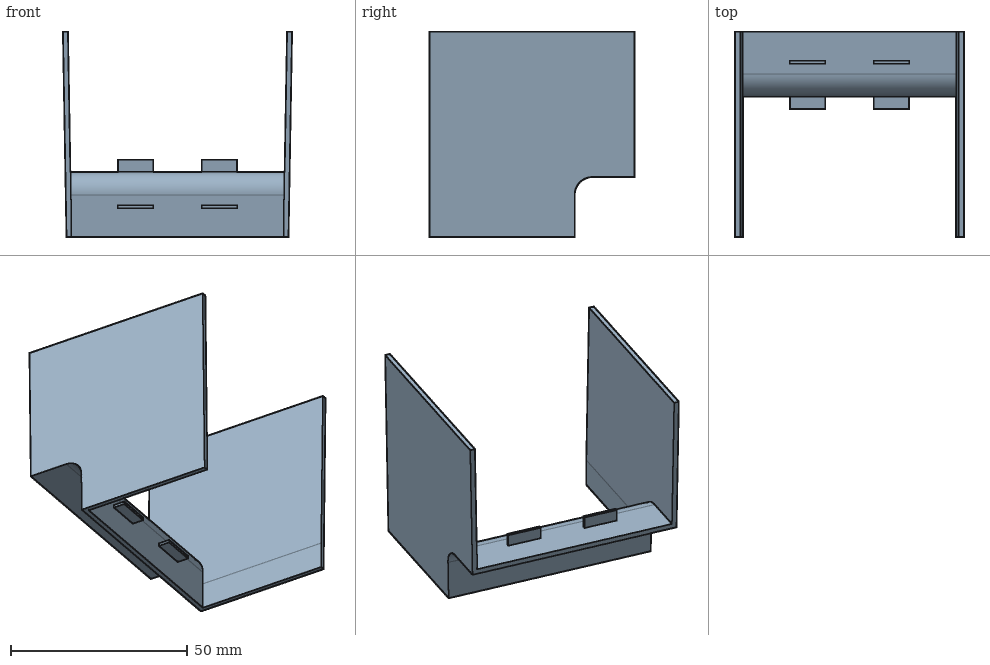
import cadquery as cq
import math

overall_width = 65.0
side_length = 58.2
thickness = 1.5
wall_lean = 1.0
notch_size = 17.0
notch_radius = 5.0

tab_width = 10.0
tab_thickness = 0.85
tab_height = 3.45
tab_spacing = 23.75
tab_offset = 8.2

lean_slope = math.tan(math.radians(wall_lean))
top_half_width = overall_width / 2
bottom_half_width = top_half_width - side_length * lean_slope
inner_lower_half_width = bottom_half_width + tab_offset * lean_slope - thickness
web_reach = notch_size + thickness
web_radius = notch_radius + thickness
web_front = side_length - web_reach


def corner_block(size, radius):
    """Full-width block in the back lower corner with its front top edge rounded."""
    block = cq.Workplane("XY").box(overall_width, size, size, centered=(True, False, False))
    block = block.translate((0, side_length - size, 0))
    return block.edges(">Z and <Y").fillet(radius)


def prism_along_y(right_edge):
    """Symmetric prism along Y; right_edge lists (x, z) points of its right side, bottom to top."""
    left_edge = [(-x, z) for x, z in reversed(right_edge)]
    return cq.Workplane("XZ").polyline(right_edge + left_edge).close().extrude(-side_length)


outer_prism = prism_along_y([(bottom_half_width, 0), (top_half_width, side_length)])
inner_prism = prism_along_y([
    (inner_lower_half_width, 0),
    (inner_lower_half_width, tab_offset),
    (top_half_width - thickness, side_length),
])

cavity = inner_prism.cut(corner_block(web_reach, web_radius))
body = outer_prism.cut(cavity).cut(corner_block(notch_size, notch_radius))

tab_root = thickness / 2
tab_length = tab_height + tab_root
for tab_x in (-tab_spacing / 2, tab_spacing / 2):
    upright_tab = cq.Workplane("XY").box(tab_width, tab_thickness, tab_length, centered=(True, False, False))
    upright_y = side_length - tab_offset - tab_thickness
    body = body.union(upright_tab.translate((tab_x, upright_y, web_reach - tab_root)))

    flat_tab = cq.Workplane("XY").box(tab_width, tab_length, tab_thickness, centered=(True, False, False))
    body = body.union(flat_tab.translate((tab_x, web_front - tab_height, tab_offset)))

result = body